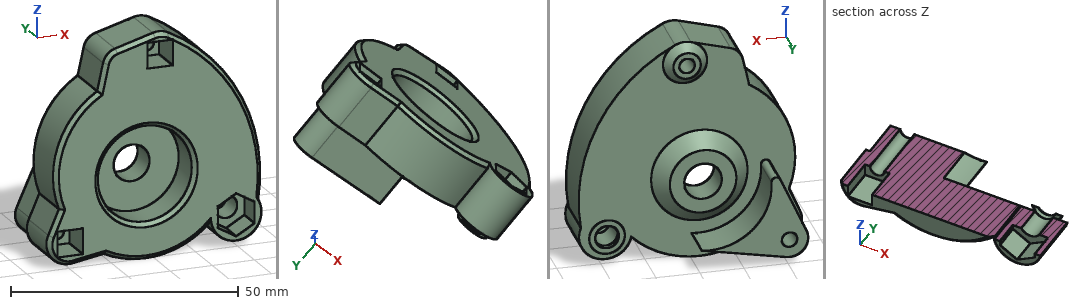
import cadquery as cq
import math


plate_thickness = 12.5
edge_chamfer = 1.0
disc_center = (0.0, 2.05)
disc_radius = 21.8

boss_radius = 5.0
top_boss = (3.25, 27.75)
left_boss = (-18.1, -13.5)
left_boss_radius = 5.25
nut_lug = (21.3, -12.05)
nut_lug_radius = 6.0
shoulder = (-6.0, 26.2)
shoulder_radius = 4.0
shoulder_side_angle = 77.5
left_boss_upper_angle = 66.5
left_boss_lower_angle = 9.5
boss_side_length = 20.0
shoulder_side_length = 10.0

sweep_radius = 39.85

shaft_diameter = 8.5
bearing_diameter = 22.3
bearing_depth = 8.75
bearing_chamfer = 1.0

screw_diameter = 3.5
square_pocket_side = 6.0
square_pocket_depth = 8.0
nut_hole_diameter = 5.3
nut_corner_diameter = 10.0
nut_pocket_depth = 6.0

shaft_pad_height = 3.4
shaft_pad_top_radius = 7.55
screw_pad_height = 1.9
screw_pad_top_radius = 3.1

collar_height = 1.4
collar_wall = 0.05
collar_flange_diameter = 8.1

block_top = 22.0
block_inset = 1.0
block_tip = (-15.05, 0.95)
block_tip_radius = 1.05
block_inner_radius = math.hypot(*block_tip) - block_tip_radius
block_end_x = 1.8


def plane_at(y):
    """XZ work plane at depth y whose negative extrusions grow towards +Y."""
    return cq.Workplane(cq.Plane(origin=(0, y, 0), xDir=(1, 0, 0), normal=(0, -1, 0)))


def polar(center, radius, angle):
    """Point at the given radius and angle (degrees) around a center."""
    turn = math.radians(angle)
    return (center[0] + radius * math.cos(turn), center[1] + radius * math.sin(turn))


def angle_to(start, end):
    return math.degrees(math.atan2(end[1] - start[1], end[0] - start[0]))


def left_tangent_angle(start, start_radius, end, end_radius):
    """Angle of the normal, left of start -> end, of the line touching both circles."""
    slant = math.degrees(math.asin((start_radius - end_radius) / math.dist(start, end)))
    return angle_to(start, end) + 90 - slant


def cylinder(center, diameter, y_start, y_end):
    return plane_at(y_start).center(*center).circle(diameter / 2).extrude(y_start - y_end)


def cone(center, top_radius, height):
    """45 degree conical pad standing on the back face."""
    base = plane_at(plate_thickness).center(*center).circle(top_radius + height)
    return base.workplane(offset=-height).circle(top_radius).loft()


def sweep_arc_center():
    """Center left of the line nut lug -> top boss, equally far from both."""
    half_span = math.dist(nut_lug, top_boss) / 2
    middle = polar(nut_lug, half_span, angle_to(nut_lug, top_boss))
    setback = math.sqrt((sweep_radius - boss_radius) ** 2 - half_span**2)
    return polar(middle, setback, angle_to(nut_lug, top_boss) + 90)


def upper_plate():
    """Region from the shoulder, over the top boss and along the large arc to the nut lug."""
    sweep_center = sweep_arc_center()
    side_normal = shoulder_side_angle + 90
    ridge_normal = left_tangent_angle(shoulder, shoulder_radius, top_boss, boss_radius)
    sweep_start_angle = angle_to(sweep_center, top_boss)
    sweep_end_angle = angle_to(sweep_center, nut_lug)
    lug_end_angle = left_tangent_angle(nut_lug, boss_radius, disc_center, 0) - 360
    side_top = polar(shoulder, shoulder_radius, side_normal)
    side_bottom = polar(side_top, shoulder_side_length, shoulder_side_angle + 180)
    sketch = (
        plane_at(0)
        .moveTo(*disc_center)
        .lineTo(*side_bottom)
        .lineTo(*side_top)
        .threePointArc(
            polar(shoulder, shoulder_radius, (side_normal + ridge_normal) / 2),
            polar(shoulder, shoulder_radius, ridge_normal),
        )
        .lineTo(*polar(top_boss, boss_radius, ridge_normal))
        .threePointArc(
            polar(top_boss, boss_radius, (ridge_normal + sweep_start_angle) / 2),
            polar(top_boss, boss_radius, sweep_start_angle),
        )
        .threePointArc(
            polar(sweep_center, sweep_radius, (sweep_start_angle + sweep_end_angle) / 2),
            polar(sweep_center, sweep_radius, sweep_end_angle),
        )
        .threePointArc(
            polar(nut_lug, boss_radius, (sweep_end_angle + lug_end_angle) / 2),
            polar(nut_lug, boss_radius, lug_end_angle),
        )
        .close()
    )
    return sketch.extrude(-plate_thickness)


def left_boss_wedge():
    """Left boss with two straight sides that run into the disc."""
    upper = polar(left_boss, left_boss_radius, left_boss_upper_angle + 90)
    lower = polar(left_boss, left_boss_radius, left_boss_lower_angle - 90)
    outer = polar(left_boss, left_boss_radius, (left_boss_upper_angle + left_boss_lower_angle) / 2 + 180)
    sketch = (
        plane_at(0)
        .moveTo(*disc_center)
        .lineTo(*polar(upper, boss_side_length, left_boss_upper_angle))
        .lineTo(*upper)
        .threePointArc(outer, lower)
        .lineTo(*polar(lower, boss_side_length, left_boss_lower_angle))
        .close()
    )
    return sketch.extrude(-plate_thickness)


def plate():
    body = cylinder(disc_center, 2 * disc_radius, 0, plate_thickness)
    body = body.union(upper_plate()).union(left_boss_wedge())
    body = body.faces("<Y").edges().chamfer(edge_chamfer)
    return body.union(cylinder(nut_lug, 2 * nut_lug_radius, 0, plate_thickness))


def standoff_block():
    """Crescent block: rounded around the left boss, hollowed around the shaft axis."""
    corner_radius = left_boss_radius - block_inset
    end = (block_end_x, -math.sqrt(block_inner_radius**2 - block_end_x**2))
    upper_normal = left_tangent_angle(left_boss, corner_radius, block_tip, block_tip_radius)
    lower_normal = left_tangent_angle(end, 0, left_boss, corner_radius)
    tip_inward = angle_to(block_tip, (0, 0))
    inner_start = angle_to((0, 0), block_tip)
    inner_middle = (inner_start + angle_to((0, 0), end) + 360) / 2
    sketch = (
        plane_at(plate_thickness)
        .moveTo(*polar(left_boss, corner_radius, upper_normal))
        .lineTo(*polar(block_tip, block_tip_radius, upper_normal))
        .threePointArc(
            polar(block_tip, block_tip_radius, (upper_normal + tip_inward) / 2),
            polar(block_tip, block_tip_radius, tip_inward),
        )
        .threePointArc(polar((0, 0), block_inner_radius, inner_middle), end)
        .lineTo(*polar(left_boss, corner_radius, lower_normal))
        .threePointArc(
            polar(left_boss, corner_radius, (upper_normal + lower_normal % 360) / 2),
            polar(left_boss, corner_radius, upper_normal),
        )
        .close()
    )
    return sketch.extrude(plate_thickness - block_top)


def bearing_seat():
    seat = cylinder((0, 0), bearing_diameter, 0, bearing_depth)
    mouth_radius = bearing_diameter / 2 + bearing_chamfer
    mouth = plane_at(0).circle(mouth_radius).workplane(offset=-bearing_chamfer)
    return seat.union(mouth.circle(bearing_diameter / 2).loft())


def square_pocket(center):
    side = square_pocket_side
    return plane_at(0).center(*center).rect(side, side).extrude(-square_pocket_depth)


def nut_pocket():
    """Hexagonal pocket with two corners pointing along Z."""
    outline = plane_at(0).center(*nut_lug).transformed(rotate=(0, 0, 90))
    return outline.polygon(6, nut_corner_diameter).extrude(-nut_pocket_depth)


def nut_collar():
    """Thin tube around the nut hole that ends in a thin flange."""
    collar_top = plate_thickness + collar_height
    tube = cylinder(nut_lug, nut_hole_diameter + 2 * collar_wall, plate_thickness, collar_top)
    return tube.union(cylinder(nut_lug, collar_flange_diameter, collar_top - collar_wall, collar_top))


body = plate()
body = body.union(standoff_block())
body = body.union(cone((0, 0), shaft_pad_top_radius, shaft_pad_height))
body = body.union(cone(top_boss, screw_pad_top_radius, screw_pad_height))
body = body.union(nut_collar())

body = body.cut(bearing_seat())
body = body.cut(cylinder((0, 0), shaft_diameter, 0, block_top))
for screw in (top_boss, left_boss):
    body = body.cut(square_pocket(screw))
    body = body.cut(cylinder(screw, screw_diameter, 0, block_top))
body = body.cut(nut_pocket())
body = body.cut(cylinder(nut_lug, nut_hole_diameter, 0, block_top))

result = body